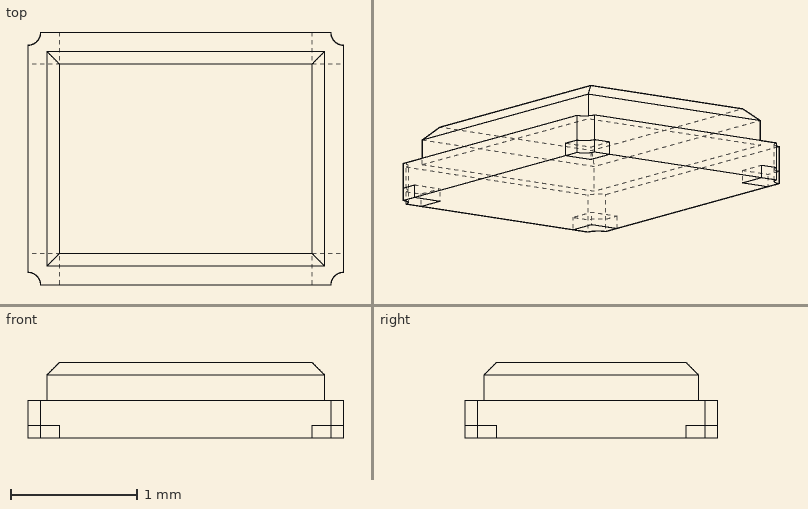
import cadquery as cq

base_length = 2.5
base_width = 2.0
base_height = 0.3
notch_radius = 0.1

lid_margin = 0.15
lid_height = 0.3
lid_chamfer = 0.1
lid_length = base_length - 2 * lid_margin
lid_width = base_width - 2 * lid_margin

pad_size = 0.25
pad_thickness = 0.1

CORNERS = [(x_side, y_side) for x_side in (-1, 1) for y_side in (-1, 1)]
corner_points = [(x_side * base_length / 2, y_side * base_width / 2) for x_side, y_side in CORNERS]


def make_corner_notches():
    """Cylinders on the four vertical edges, as tall as the base."""
    return cq.Workplane("XY").pushPoints(corner_points).circle(notch_radius).extrude(base_height)


def make_pad(x_side, y_side):
    """Square terminal flush with the underside and outer faces of one corner."""
    center_x = x_side * (base_length - pad_size) / 2
    center_y = y_side * (base_width - pad_size) / 2
    block = (
        cq.Workplane("XY")
        .center(center_x, center_y)
        .rect(pad_size, pad_size)
        .extrude(pad_thickness)
    )
    return block.cut(make_corner_notches())


def make_base(terminals):
    """Rectangular base with notched corners and a recess for each terminal."""
    body = cq.Workplane("XY").rect(base_length, base_width).extrude(base_height)
    body = body.cut(make_corner_notches())
    for terminal in terminals:
        body = body.cut(terminal)
    return body


def make_lid():
    """Rectangular lid on top of the base, chamfered around its top face."""
    return (
        cq.Workplane("XY")
        .workplane(offset=base_height)
        .rect(lid_length, lid_width)
        .extrude(lid_height)
        .faces(">Z")
        .edges()
        .chamfer(lid_chamfer)
    )


pads = [make_pad(x_side, y_side) for x_side, y_side in CORNERS]
base = make_base(pads)
lid = make_lid()

result = cq.Compound.makeCompound([base.val(), lid.val(), *[pad.val() for pad in pads]])